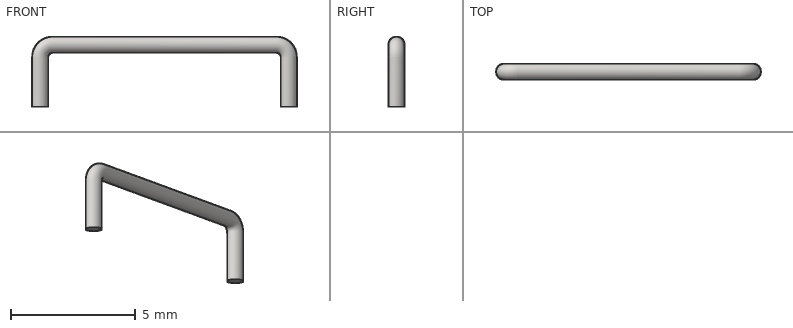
import cadquery as cq
import math

wire_diameter = 0.66
leg_pitch = 10.0
leg_length = 2.0
bend_radius = 0.5

half_pitch = leg_pitch / 2
axis_height = leg_length + bend_radius
bridge_end = half_pitch - bend_radius
bend_mid_x = bridge_end + bend_radius * math.cos(math.pi / 4)
bend_mid_z = leg_length + bend_radius * math.sin(math.pi / 4)


def wire_axis():
    """Wire axis in the XZ plane, from the foot of the -X leg to the foot of the +X leg."""
    return (
        cq.Workplane("XZ")
        .moveTo(-half_pitch, 0)
        .lineTo(-half_pitch, leg_length)
        .threePointArc((-bend_mid_x, bend_mid_z), (-bridge_end, axis_height))
        .lineTo(bridge_end, axis_height)
        .threePointArc((bend_mid_x, bend_mid_z), (half_pitch, leg_length))
        .lineTo(half_pitch, 0)
    )


def bent_wire():
    """Round wire section swept along the wire axis."""
    section = cq.Workplane("XY").center(-half_pitch, 0).circle(wire_diameter / 2)
    return section.sweep(wire_axis())


result = bent_wire()